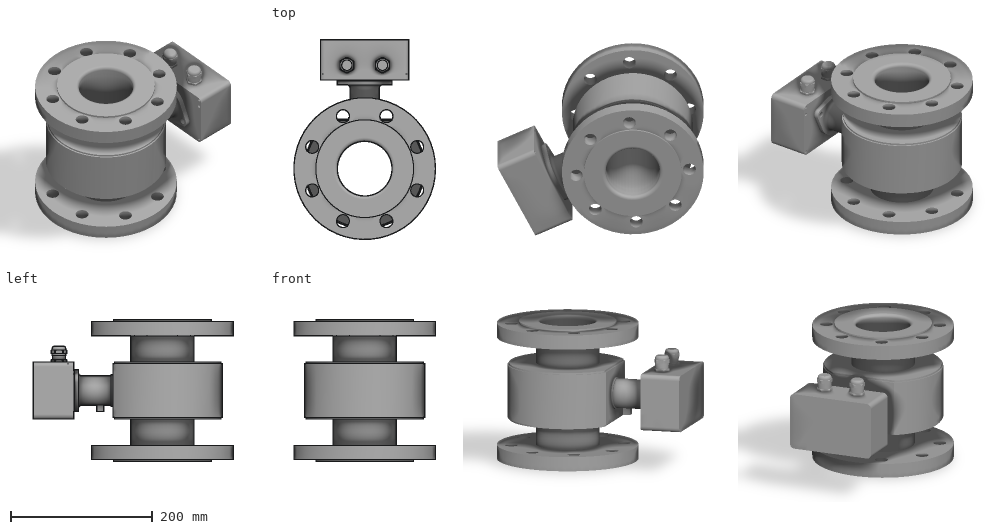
import cadquery as cq
import math


flange_diameter = 200.0
flange_thickness = 20.3
overall_height = 200.5
bolt_count = 8
bolt_hole_diameter = 18.0
bolt_circle_diameter = 160.0
first_bolt_angle = 180 / bolt_count
pipe_diameter = 89.7
pipe_bore = 83.0
liner_bore = 76.7
liner_lip_diameter = 138.0
liner_lip_thickness = 2.8
liner_mouth_radius = 5.0

flange_radius = flange_diameter / 2
meter_height = overall_height - 2 * liner_lip_thickness

housing_height = 80.7
housing_radius = 85.0
housing_flat_y = 70.0
cover_thickness = 2.5
cover_radius = 83.0
cover_flat_y = 67.7

overall_depth = 282.0
box_width = 125.0
box_depth = 57.2
box_height = housing_height
box_edge_radius = 6.5
box_back_y = overall_depth - flange_radius
box_front_y = box_back_y - box_depth
corner_hole_diameter = 3.0
corner_hole_side_inset = 4.2
corner_hole_top_inset = 3.7
corner_hole_bottom_inset = 5.4
corner_hole_depth = 8.5
side_hole_diameter = 4.8
side_hole_drop = 14.7
side_hole_depth = 10.0

neck_diameter = 41.7
neck_fillet = 4.0
collar_diameter = 45.0
collar_length = 2.5
neck_flange_thickness = 5.5
neck_flange_radius = 29.3
lobe_radius = 8.0
lobe_distance = 34.5
lobe_angle = 154.0
lobe_hole_diameter = 8.5
seat_thickness = 1.0
seat_inset = 0.3
neck_flange_back_y = box_front_y - seat_thickness
neck_flange_front_y = neck_flange_back_y - neck_flange_thickness

terminal_width = 10.2
terminal_drop = 9.0
terminal_y = 87.7

gland_spacing = 50.2
gland_y = 145.8
gland_hex_flats = 20.0
gland_hex_corners = 22.3
gland_hex_chamfer = 0.8
gland_hex_turn = 30.0
gland_neck_diameter = 18.5
gland_cap_diameter = 19.7
gland_base_top = 3.5
gland_neck_top = 8.7
gland_collar_top = 12.0
gland_nut_top = 17.0
gland_cap_top = 22.3
gland_cap_shoulder = 18.0
gland_cap_flat_diameter = 14.7


def disc(diameter, bottom, top):
    """Upright cylinder on the tube axis."""
    return cq.Workplane("XY", origin=(0, 0, bottom)).circle(diameter / 2).extrude(top - bottom)


def facing_front(y):
    """Workplane at the given Y whose local axes are X and Z; positive extrusion goes to -Y."""
    return cq.Workplane("XZ", origin=(0, y, 0))


def flattened_disc(radius, flat_y, height):
    """Disc centred on the origin with its +Y side cut off flat."""
    flat_half_width = math.sqrt(radius**2 - flat_y**2)
    return (
        cq.Workplane("XY", origin=(0, 0, -height / 2))
        .moveTo(flat_half_width, flat_y)
        .threePointArc((0, -radius), (-flat_half_width, flat_y))
        .close()
        .extrude(height)
    )


def lobed_plate(front_y, back_y, inset=0.0):
    """Round plate with a lobe on two opposite sides, joined by tangent lines."""
    radius = neck_flange_radius - inset
    tip_radius = lobe_radius - inset
    direction = math.radians(lobe_angle)
    spread = math.acos((radius - tip_radius) / lobe_distance)

    def point(distance, angle, offset=0.0):
        x = distance * math.cos(angle) + offset * math.cos(direction)
        z = distance * math.sin(angle) + offset * math.sin(direction)
        return (x, z)

    quarter = math.pi / 2
    first, second = direction - spread, direction + spread
    third, fourth = first + math.pi, second + math.pi
    return (
        facing_front(back_y)
        .moveTo(*point(radius, first))
        .lineTo(*point(tip_radius, first, lobe_distance))
        .threePointArc(
            point(tip_radius, direction, lobe_distance), point(tip_radius, second, lobe_distance)
        )
        .lineTo(*point(radius, second))
        .threePointArc(point(radius, direction + quarter), point(radius, third))
        .lineTo(*point(tip_radius, third, -lobe_distance))
        .threePointArc(
            point(tip_radius, direction + math.pi, -lobe_distance),
            point(tip_radius, fourth, -lobe_distance),
        )
        .lineTo(*point(radius, fourth))
        .threePointArc(point(radius, direction - quarter), point(radius, first))
        .close()
        .extrude(back_y - front_y)
    )


def make_neck():
    """Neck with its collar, fillet, lobed flange and earth terminal."""
    neck_radius = neck_diameter / 2
    fillet_start_y = neck_flange_front_y - neck_fillet
    arc_inset = neck_fillet * (1 - math.sqrt(0.5))
    collar_end_y = housing_flat_y + collar_length
    stem = (
        cq.Workplane("XY")
        .lineTo(collar_diameter / 2, 0)
        .lineTo(collar_diameter / 2, collar_end_y)
        .lineTo(neck_radius, collar_end_y)
        .lineTo(neck_radius, fillet_start_y)
        .threePointArc(
            (neck_radius + arc_inset, neck_flange_front_y - arc_inset),
            (neck_radius + neck_fillet, neck_flange_front_y),
        )
        .lineTo(neck_radius + neck_fillet, neck_flange_back_y)
        .lineTo(0, neck_flange_back_y)
        .close()
        .revolve(360, (0, 0, 0), (0, 1, 0))
    )
    flange = lobed_plate(neck_flange_front_y, neck_flange_back_y)
    lobe_x = lobe_distance * math.cos(math.radians(lobe_angle))
    lobe_z = lobe_distance * math.sin(math.radians(lobe_angle))
    lobe_holes = (
        facing_front(neck_flange_back_y)
        .pushPoints([(lobe_x, lobe_z), (-lobe_x, -lobe_z)])
        .circle(lobe_hole_diameter / 2)
        .extrude(neck_flange_thickness)
    )
    terminal_height = neck_radius + terminal_drop
    terminal = (
        cq.Workplane("XY", origin=(0, terminal_y, -terminal_height))
        .rect(terminal_width, terminal_width)
        .extrude(terminal_height)
    )
    return stem.union(flange).cut(lobe_holes).union(terminal)


def make_meter():
    """Pipe, end flanges, housing and neck in one piece, bored for the liner."""
    end_z = meter_height / 2
    meter = disc(pipe_diameter, -end_z, end_z)
    bolt_holes = (
        cq.Workplane("XY", origin=(0, 0, -end_z))
        .polarArray(bolt_circle_diameter / 2, first_bolt_angle, 360, bolt_count)
        .circle(bolt_hole_diameter / 2)
        .extrude(meter_height)
    )
    for bottom in (-end_z, end_z - flange_thickness):
        meter = meter.union(disc(flange_diameter, bottom, bottom + flange_thickness))
    meter = meter.cut(bolt_holes)
    shell = flattened_disc(housing_radius, housing_flat_y, housing_height - 2 * cover_thickness)
    covers = flattened_disc(cover_radius, cover_flat_y, housing_height)
    meter = meter.union(shell).union(covers).union(make_neck())
    return meter.cut(disc(pipe_bore, -end_z, end_z))


def make_liner():
    """Tube lining with a lip over each flange face and a rounded mouth."""
    end_z = overall_height / 2
    lip_z = end_z - liner_lip_thickness
    liner = disc(pipe_bore, -end_z, end_z)
    liner = liner.union(disc(liner_lip_diameter, lip_z, end_z))
    liner = liner.union(disc(liner_lip_diameter, -end_z, -lip_z))
    liner = liner.cut(disc(liner_bore, -end_z, end_z))
    mouths = liner.faces("<Z or >Z").edges(cq.selectors.RadiusNthSelector(0))
    return mouths.fillet(liner_mouth_radius)


def make_gland(x):
    """Cable gland standing on the box top: hexagon base, neck, collar, nut and domed cap."""
    box_top = box_height / 2

    def round_part(diameter, bottom, top):
        return disc(diameter, box_top + bottom, box_top + top)

    def hexagon(bottom, top):
        corner_diameter = gland_hex_flats / math.cos(math.pi / 6)
        prism = (
            cq.Workplane("XY", origin=(0, 0, box_top + bottom))
            .polygon(6, corner_diameter)
            .extrude(top - bottom)
            .rotate((0, 0, 0), (0, 0, 1), gland_hex_turn)
        )
        blank = round_part(gland_hex_corners, bottom, top).faces(">Z").chamfer(gland_hex_chamfer)
        return prism.intersect(blank)

    cap = (
        cq.Workplane("XZ", origin=(0, 0, box_top))
        .moveTo(0, gland_neck_top)
        .lineTo(gland_cap_diameter / 2, gland_neck_top)
        .lineTo(gland_cap_diameter / 2, gland_cap_shoulder)
        .tangentArcPoint((gland_cap_flat_diameter / 2, gland_cap_top), relative=False)
        .lineTo(0, gland_cap_top)
        .close()
        .revolve(360, (0, 0, 0), (0, 1, 0))
    )
    gland = (
        cap
        .union(round_part(gland_neck_diameter, 0, gland_neck_top))
        .union(hexagon(0, gland_base_top))
        .union(hexagon(gland_collar_top, gland_nut_top))
    )
    return gland.translate((x, gland_y, 0))


def make_terminal_box():
    """Terminal box with its cable glands, screw holes and the seat for the neck flange."""
    box = (
        facing_front(box_back_y)
        .rect(box_width, box_height)
        .extrude(box_depth)
        .edges("|Y")
        .fillet(box_edge_radius)
    )
    hole_x = box_width / 2 - corner_hole_side_inset
    top_z = box_height / 2 - corner_hole_top_inset
    bottom_z = corner_hole_bottom_inset - box_height / 2
    corner_holes = (
        facing_front(box_front_y)
        .pushPoints([(x, z) for x in (-hole_x, hole_x) for z in (bottom_z, top_z)])
        .circle(corner_hole_diameter / 2)
        .extrude(-corner_hole_depth)
    )
    side_z = box_height / 2 - side_hole_drop
    side_holes = (
        facing_front(box_front_y)
        .pushPoints([(-hole_x, side_z), (hole_x, side_z)])
        .circle(side_hole_diameter / 2)
        .extrude(-side_hole_depth)
    )
    box = box.cut(corner_holes).cut(side_holes)
    box = box.union(lobed_plate(neck_flange_back_y, box_front_y, seat_inset))
    for x in (-gland_spacing / 2, gland_spacing / 2):
        box = box.union(make_gland(x))
    return box


meter = make_meter()
liner = make_liner()
terminal_box = make_terminal_box()

result = cq.Compound.makeCompound([meter.val(), liner.val(), terminal_box.val()])